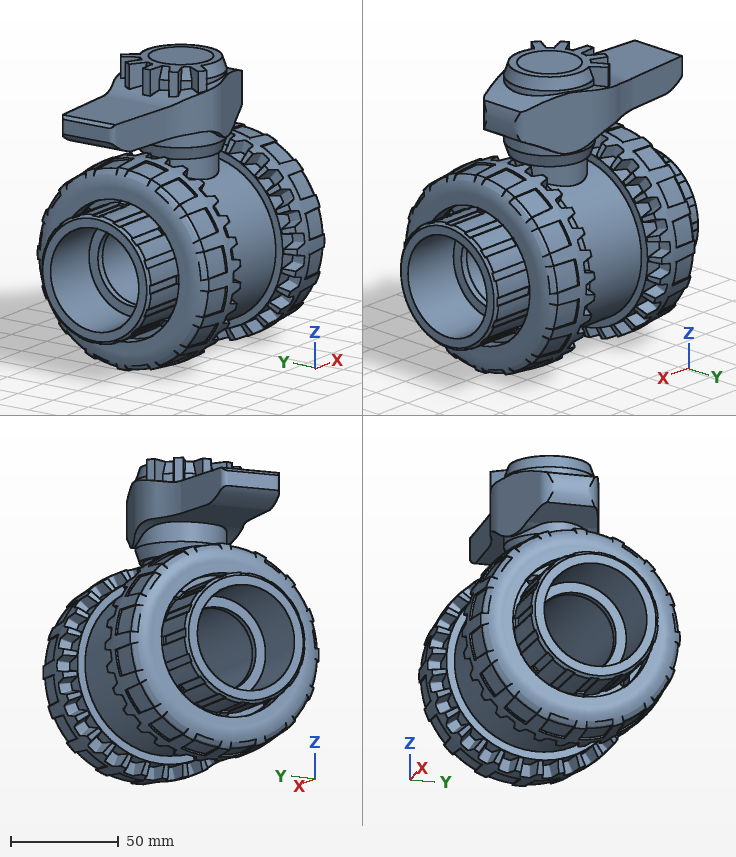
import cadquery as cq
import math


CLEARANCE = 0.7

BORE_RADIUS = 40.0 / 2
HOUSING_RADIUS = 40.0
HOUSING_HALF_LENGTH = 34.9
NECK_RADIUS = 35.0 / 2

VALVE_HALF_LENGTH = 69.5
SOCKET_RADIUS = 25.0
SOCKET_DEPTH = 31.0
SPIGOT_RADIUS = 31.0
SPIGOT_CHAMFER = 1.5
FLANGE_RADIUS = 74.0 / 2
GROOVE_COUNT = 16
GROOVE_ANGLE = 7.2
GROOVE_DEPTH = 0.5
RIB_COUNT = 8
RIB_WIDTH = 4.0
RIB_OUTER_RADIUS = 33.6
RIB_CREST_RADIUS = 31.5
RIB_LENGTH = 4.4

NUT_OUTER_X = 50.0
NUT_INNER_X = 19.6
NUT_LIP = 7.3
NUT_LIP_RADIUS = 34.0
NUT_FACE_RADIUS = 38.5
NUT_RADIUS = 100.0 / 2
NUT_RIDGE_X = 31.0
NUT_SHOULDER_X = 46.7
NUT_SHOULDER_RADIUS = 48.5
NUT_ROUNDING_X = 48.7
NUT_ROUNDING_RADIUS = 45.7
PANEL_COUNT = 16
PANEL_DEPTH = 0.6
PANEL_BREAK_X = 47.1
PANEL_BREAK_RADIUS = 47.4
PANEL_INNER_X = 33.2
PANEL_INNER_HALF_WIDTH = 6.3
PANEL_OUTER_HALF_WIDTH = 6.5
TOOTH_COUNT = 29
TOOTH_ROOT_RADIUS = 43.9
TOOTH_CREST_X = 22.8
TOOTH_TIP_X = 20.4
GAP_ROOT_X = 27.8
GAP_ROOT_HALF_WIDTH = 1.67
GAP_MOUTH_HALF_WIDTH = 3.9
GAP_FLANK_TAPER = 8.0
GAP_FIRST_ANGLE = 90.0

HANDLE_TOP_Z = 92.0
COLLAR_BOTTOM_Z = 47.5
COLLAR_CONE_Z = 53.7
DRUM_CONE_Z = 86.0
HUB_RADIUS = 42.6 / 2
HUB_END_RADIUS = 19.2
LEVER_END_X = -75.9
LEVER_TOP_Z = 78.4
LEVER_BOTTOM_Z = 63.0
LEVER_END_HALF_WIDTH = 14.8
LEVER_CORNER_RADIUS = 2.6
NOSE_X = 33.3
NOSE_EDGE_X = 32.1
NOSE_HALF_WIDTH = 12.5
NOSE_TOP_Z = 79.2
NOSE_BOTTOM_Z = 64.7
NOSE_CORNER_RADIUS = 6.5
WAIST_X = -37.4
FLARE_X = -21.0
SHOULDER_X = -2.3
RISE_START_X = -35.8
RISE_END_X = -28.6
RISE_END_Z = 79.2
LEVER_TIP_BOTTOM_Z = 69.6
LEVER_TIP_TOP_Z = 76.8
GEAR_TOOTH_COUNT = 5
GEAR_TOOTH_PITCH = 28.0
GEAR_TIP_RADIUS = 27.9
GEAR_ROOT_RADIUS = 18.6
GEAR_TIP_HALF_WIDTH = 2.11
GEAR_ROOT_HALF_WIDTH = 2.84
GEAR_BOTTOM_Z = 75.6

CAP_RADIUS = 15.1
CAP_THICKNESS = 2.0


def x_tube(outer_radius, inner_radius, x_start, x_end):
    """Tube along X between two stations."""
    tube = cq.Workplane("YZ", origin=(x_start, 0, 0)).circle(outer_radius).circle(inner_radius)
    return tube.extrude(x_end - x_start)


def around_x(shape, count, first_angle=0.0):
    """Copies of a shape at equal angles about the X axis."""
    copies = []
    for index in range(count):
        angle = first_angle + index * 360 / count
        copies.append(shape.val().rotate(cq.Vector(0, 0, 0), cq.Vector(1, 0, 0), angle))
    return cq.Workplane(cq.Compound.makeCompound(copies))


def make_housing():
    barrel = cq.Workplane("YZ").circle(HOUSING_RADIUS).extrude(HOUSING_HALF_LENGTH, both=True)
    neck = cq.Workplane("XY").circle(NECK_RADIUS).extrude(COLLAR_BOTTOM_Z)
    bore = cq.Workplane("YZ").circle(BORE_RADIUS).extrude(HOUSING_HALF_LENGTH, both=True)
    return barrel.union(neck).cut(bore)


def make_spigot_grooves(flange_x):
    """Shallow lengthwise flutes around the spigot."""
    floor_radius = SPIGOT_RADIUS - GROOVE_DEPTH
    ring = x_tube(SPIGOT_RADIUS + CLEARANCE, floor_radius, -VALVE_HALF_LENGTH, flange_x)
    width = 2 * SPIGOT_RADIUS * math.sin(math.radians(GROOVE_ANGLE / 2))
    blade = cq.Workplane("XY").rect(2 * VALVE_HALF_LENGTH, width).extrude(2 * SPIGOT_RADIUS)
    return around_x(ring.intersect(blade), GROOVE_COUNT)


def make_flange_ribs(flange_x):
    """Small ramped ribs between the spigot and its flange."""
    inner_radius = (SOCKET_RADIUS + SPIGOT_RADIUS) / 2
    rib = (
        cq.Workplane("XZ", origin=(0, RIB_WIDTH / 2, 0))
        .moveTo(flange_x, inner_radius)
        .lineTo(flange_x - RIB_LENGTH, inner_radius)
        .lineTo(flange_x - RIB_LENGTH, RIB_CREST_RADIUS)
        .lineTo(flange_x, RIB_OUTER_RADIUS)
        .close()
        .extrude(RIB_WIDTH)
    )
    return around_x(rib, RIB_COUNT)


def make_connector():
    flange_x = -NUT_OUTER_X + NUT_LIP
    socket_end_x = -VALVE_HALF_LENGTH + SOCKET_DEPTH
    body = (
        cq.Workplane("XY")
        .moveTo(-VALVE_HALF_LENGTH, SOCKET_RADIUS)
        .lineTo(-VALVE_HALF_LENGTH, SPIGOT_RADIUS - SPIGOT_CHAMFER)
        .lineTo(-VALVE_HALF_LENGTH + SPIGOT_CHAMFER, SPIGOT_RADIUS)
        .lineTo(flange_x, SPIGOT_RADIUS)
        .lineTo(flange_x, FLANGE_RADIUS)
        .lineTo(-HOUSING_HALF_LENGTH, FLANGE_RADIUS)
        .lineTo(-HOUSING_HALF_LENGTH, BORE_RADIUS)
        .lineTo(socket_end_x, BORE_RADIUS)
        .lineTo(socket_end_x, SOCKET_RADIUS)
        .close()
        .revolve(360, (0, 0, 0), (1, 0, 0))
    )
    return body.cut(make_spigot_grooves(flange_x)).union(make_flange_ribs(flange_x))


def make_nut_core():
    """Threaded ring without its crown of teeth."""
    return (
        cq.Workplane("XY")
        .moveTo(-NUT_OUTER_X, NUT_LIP_RADIUS)
        .lineTo(-NUT_OUTER_X, NUT_FACE_RADIUS)
        .threePointArc((-NUT_ROUNDING_X, NUT_ROUNDING_RADIUS), (-NUT_SHOULDER_X, NUT_SHOULDER_RADIUS))
        .lineTo(-NUT_RIDGE_X, NUT_RADIUS)
        .lineTo(-NUT_RIDGE_X, TOOTH_ROOT_RADIUS)
        .lineTo(-NUT_INNER_X, TOOTH_ROOT_RADIUS)
        .lineTo(-NUT_INNER_X, HOUSING_RADIUS)
        .lineTo(-NUT_OUTER_X + NUT_LIP, HOUSING_RADIUS)
        .lineTo(-NUT_OUTER_X + NUT_LIP, NUT_LIP_RADIUS)
        .close()
        .revolve(360, (0, 0, 0), (1, 0, 0))
    )


def make_grip_panels():
    """Shallow wedge-shaped recesses in the tapered rim, running out into the rounded edge."""
    clear_radius = NUT_RADIUS + CLEARANCE
    floor_ring = (
        cq.Workplane("XY")
        .moveTo(-NUT_OUTER_X, NUT_ROUNDING_RADIUS)
        .lineTo(-NUT_ROUNDING_X, NUT_ROUNDING_RADIUS)
        .lineTo(-PANEL_BREAK_X, PANEL_BREAK_RADIUS)
        .lineTo(-NUT_SHOULDER_X + PANEL_DEPTH, NUT_SHOULDER_RADIUS - PANEL_DEPTH)
        .lineTo(-PANEL_INNER_X, NUT_RADIUS - 2 * PANEL_DEPTH)
        .lineTo(-PANEL_INNER_X, clear_radius)
        .lineTo(-NUT_OUTER_X, clear_radius)
        .close()
        .revolve(360, (0, 0, 0), (1, 0, 0))
    )
    wedge = (
        cq.Workplane("XY")
        .moveTo(-PANEL_INNER_X, PANEL_INNER_HALF_WIDTH)
        .lineTo(-NUT_OUTER_X, PANEL_OUTER_HALF_WIDTH)
        .lineTo(-NUT_OUTER_X, -PANEL_OUTER_HALF_WIDTH)
        .lineTo(-PANEL_INNER_X, -PANEL_INNER_HALF_WIDTH)
        .close()
        .extrude(clear_radius)
    )
    return around_x(floor_ring.intersect(wedge), PANEL_COUNT, 180 / PANEL_COUNT)


def make_tooth_gaps():
    """Flared gaps that leave a crown of teeth on the inner rim."""
    mouth_x = NUT_INNER_X - CLEARANCE
    clear_radius = NUT_RADIUS + CLEARANCE
    base_radius = TOOTH_ROOT_RADIUS - CLEARANCE
    gap = (
        cq.Workplane("XY", origin=(0, 0, base_radius))
        .moveTo(-GAP_ROOT_X, GAP_ROOT_HALF_WIDTH)
        .lineTo(-mouth_x, GAP_MOUTH_HALF_WIDTH)
        .lineTo(-mouth_x, -GAP_MOUTH_HALF_WIDTH)
        .lineTo(-GAP_ROOT_X, -GAP_ROOT_HALF_WIDTH)
        .close()
        .extrude(clear_radius - base_radius, taper=-GAP_FLANK_TAPER)
    )
    return around_x(gap, TOOTH_COUNT, GAP_FIRST_ANGLE)


def make_crown():
    """Crown of chamfered teeth standing on the inner end of the core."""
    ring = (
        cq.Workplane("XY")
        .moveTo(-NUT_RIDGE_X, TOOTH_ROOT_RADIUS)
        .lineTo(-NUT_RIDGE_X, NUT_RADIUS)
        .lineTo(-TOOTH_CREST_X, NUT_RADIUS)
        .lineTo(-TOOTH_TIP_X, TOOTH_ROOT_RADIUS)
        .close()
        .revolve(360, (0, 0, 0), (1, 0, 0))
    )
    return ring.cut(make_tooth_gaps())


def make_nut():
    return make_nut_core().cut(make_grip_panels()).union(make_crown())


def make_lever():
    """Lever and boss: a plan outline crossed with a side outline, the boss slightly fuller toward +Y."""
    plan = (
        cq.Workplane("XY", origin=(0, 0, COLLAR_BOTTOM_Z))
        .moveTo(LEVER_END_X, -LEVER_END_HALF_WIDTH)
        .lineTo(WAIST_X, -17.5)
        .threePointArc((-28.6, -19.0), (FLARE_X, -22.0))
        .threePointArc((-15.4, -24.0), (-9.7, -25.2))
        .threePointArc((-6.0, -25.2), (SHOULDER_X, -24.4))
        .lineTo(NOSE_X, -NOSE_HALF_WIDTH)
        .lineTo(NOSE_X, NOSE_HALF_WIDTH)
        .lineTo(SHOULDER_X, 24.9)
        .threePointArc((-9.0, 25.7), (FLARE_X, 23.4))
        .threePointArc((-28.6, 20.0), (WAIST_X, 17.9))
        .lineTo(LEVER_END_X, LEVER_END_HALF_WIDTH)
        .close()
        .extrude(HANDLE_TOP_Z - COLLAR_BOTTOM_Z)
    )
    plan = plan.edges("|Z").edges("<X").fillet(LEVER_CORNER_RADIUS)
    plan = plan.edges("|Z").edges(">X").fillet(NOSE_CORNER_RADIUS)
    side = (
        cq.Workplane("XZ")
        .moveTo(LEVER_END_X, LEVER_TIP_BOTTOM_Z)
        .lineTo(LEVER_END_X, LEVER_TIP_TOP_Z)
        .lineTo(-74.2, LEVER_TOP_Z)
        .lineTo(RISE_START_X, LEVER_TOP_Z)
        .threePointArc((-32.1, 78.7), (RISE_END_X, RISE_END_Z))
        .threePointArc((-9.7, 82.9), (8.7, 84.8))
        .threePointArc((21.2, 82.7), (NOSE_EDGE_X, NOSE_TOP_Z))
        .threePointArc((NOSE_X, (NOSE_TOP_Z + NOSE_BOTTOM_Z) / 2), (NOSE_EDGE_X, NOSE_BOTTOM_Z))
        .lineTo(19.0, 58.5)
        .threePointArc((9.0, 54.8), (SHOULDER_X, 58.5))
        .threePointArc((-9.7, 61.8), (FLARE_X, LEVER_BOTTOM_Z))
        .lineTo(-62.2, LEVER_BOTTOM_Z)
        .threePointArc((-69.4, 65.1), (LEVER_END_X, LEVER_TIP_BOTTOM_Z))
        .close()
        .extrude(2 * HUB_RADIUS, both=True)
    )
    return plan.intersect(side)


def make_hub():
    """Round collar below the lever and round drum above it."""
    return (
        cq.Workplane("XZ")
        .moveTo(0, COLLAR_BOTTOM_Z)
        .lineTo(HUB_END_RADIUS, COLLAR_BOTTOM_Z)
        .lineTo(HUB_RADIUS, COLLAR_CONE_Z)
        .lineTo(HUB_RADIUS, DRUM_CONE_Z)
        .lineTo(HUB_END_RADIUS, HANDLE_TOP_Z)
        .lineTo(0, HANDLE_TOP_Z)
        .close()
        .revolve(360, (0, 0, 0), (0, 1, 0))
    )


def make_gear_teeth():
    """Wrench teeth that fit the crown of the union nuts."""
    tooth = (
        cq.Workplane("XY", origin=(0, 0, GEAR_BOTTOM_Z))
        .moveTo(-GEAR_TIP_RADIUS, GEAR_TIP_HALF_WIDTH)
        .lineTo(-GEAR_ROOT_RADIUS, GEAR_ROOT_HALF_WIDTH)
        .lineTo(-GEAR_ROOT_RADIUS, -GEAR_ROOT_HALF_WIDTH)
        .lineTo(-GEAR_TIP_RADIUS, -GEAR_TIP_HALF_WIDTH)
        .close()
        .extrude(HANDLE_TOP_Z - GEAR_BOTTOM_Z)
    )
    teeth = []
    for index in range(GEAR_TOOTH_COUNT):
        angle = (index - (GEAR_TOOTH_COUNT - 1) / 2) * GEAR_TOOTH_PITCH
        teeth.append(tooth.rotate((0, 0, 0), (0, 0, 1), angle).val())
    return cq.Workplane(cq.Compound.makeCompound(teeth))


def make_handle():
    return make_lever().union(make_hub()).union(make_gear_teeth()).cut(make_cap())


def make_cap():
    """Flush disc set into the top of the handle."""
    disc = cq.Workplane("XY", origin=(0, 0, HANDLE_TOP_Z)).circle(CAP_RADIUS)
    return disc.extrude(-CAP_THICKNESS)


housing = make_housing()
connector = make_connector()
nut = make_nut()
handle = make_handle()
cap = make_cap()

connectors = []
nuts = []
for turn in (0, 180):
    connectors.append(connector.rotate((0, 0, 0), (0, 0, 1), turn).val())
    nuts.append(nut.rotate((0, 0, 0), (0, 0, 1), turn).val())

result = cq.Compound.makeCompound([housing.val(), *connectors, *nuts, handle.val(), cap.val()])